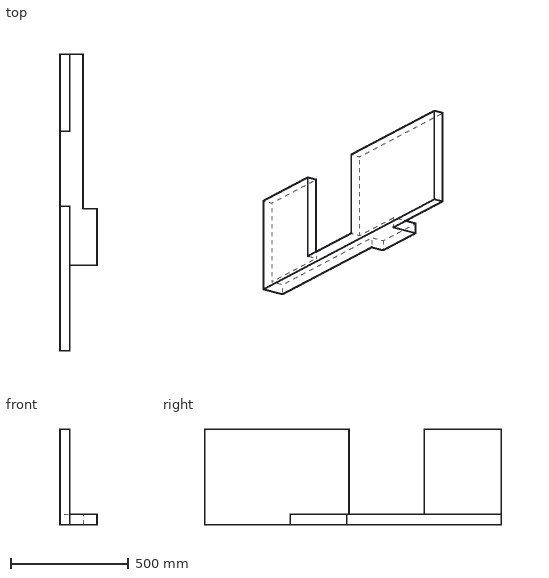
import cadquery as cq

length = 1264.0
height = 407.0
depth = 159.0

wall_thickness = 43.0
shelf_thickness = 45.0
narrow_shelf_depth = 100.0

notch_start = 329.0
notch_end = 648.0
wide_shelf_start = 658.0
wide_shelf_end = 900.0


def block(x_size, start, end, z_size, z_base=0.0):
    """Box from the outer wall face, spanning two distances from the +Y end."""
    return cq.Workplane("XY").box(x_size, end - start, z_size, centered=False).translate(
        (0, length - end, z_base)
    )


wall = block(wall_thickness, 0, length, height)
notch = block(wall_thickness, notch_start, notch_end, height - shelf_thickness, shelf_thickness)

narrow_shelf = block(narrow_shelf_depth, 0, wide_shelf_start, shelf_thickness)
wide_shelf = block(depth, wide_shelf_start, wide_shelf_end, shelf_thickness)

result = wall.cut(notch).union(narrow_shelf).union(wide_shelf).clean()